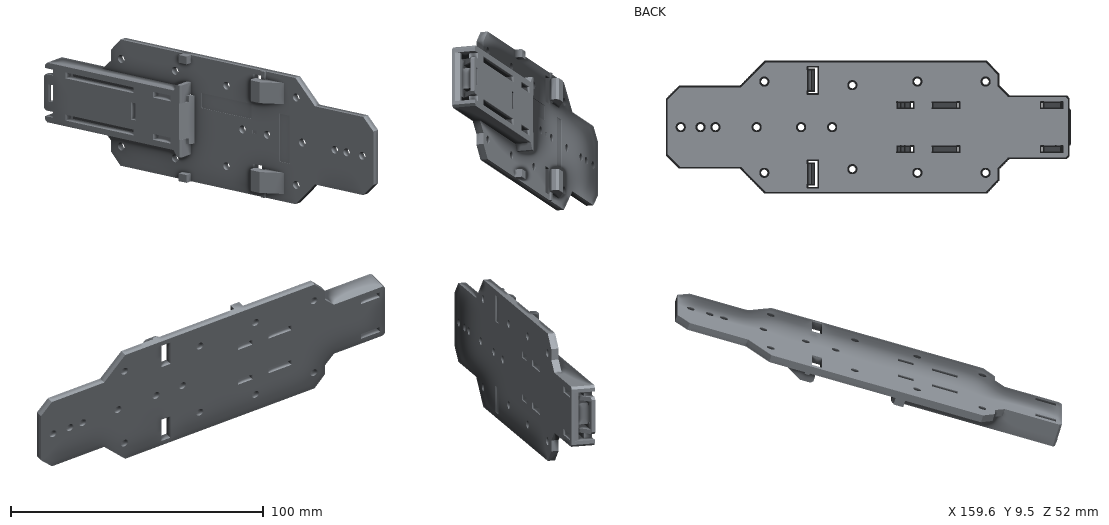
import cadquery as cq


length = 159.6
plate_thickness = 3.0
plate_half_width = 26.0
neck_half_width = 16.1
hole_diameter = 3.2

imprint_depth = 0.2
label_x_span = (73.8, 98.8)
label_z_span = (5.1, 11.3)
label_corner_radius = 0.6
pad_x_span = (112.7, 117.8)
pad_half_width = 9.9
mark_x_span = (99.3, 101.2)
mark_half_width = 0.72

channel_start = 0.6
channel_end = 68.5
channel_height = 6.5
channel_half_width = 12.3
cavity_half_width = 9.9
channel_corner = 1.0
end_bevel = 0.6
flare_half_width = 14.8
flare_start = 64.8
flare_crest = 66.5
tab_underside = 2.9
tab_spans = [(4.5, 10.7), (44.9, 54.5), (63.2, channel_end)]
tab_lead_in = 0.8
window_spans = [(3.0, 11.7), (43.9, 54.5), (62.0, channel_end)]
ramp_length = 1.0
ramp_depth = 1.9

hook_inner = 14.2
hook_outer = 22.8
hook_start = 101.2
hook_height = 4.8
hook_gap = 1.0
hook_root = 105.8
hook_crest_end = 106.5
hook_end = 115.0
hook_chamfer = 1.0
relief_start = 99.8
relief_end = 104.0
relief_margin = 1.04
rib_height = 0.72
block_start = 64.5
block_end = channel_end
block_width = 3.2
block_height = 2.9

slider_half_width = 7.5
slider_end = 67.5
slider_corner = 1.0
cover_thickness = 1.6
under_cover = channel_height - cover_thickness
skirt_thickness = 1.8
skirt_start = 1.0
skirt_ramp_end = 5.7
rib_half_width = 4.2
tool_slot_spans = [(2.4, 4.5), (43.5, 45.8)]
tool_slot_half_width = 3.5
nose_start = tab_spans[-1][0]
nose_tip = 70.7
nose_clearance = 0.8
nose_heel_height = 2.2
nose_heel_start = 65.5
nose_heel_length = 1.6

disc_x = 81.3
disc_z = -5.7
disc_diameter = 12.0
disc_thickness = 0.2


def box(x_span, height_span, z_span):
    """Box between two X values, two heights above the plate and two Z values."""
    (x0, x1), (h0, h1), (z0, z1) = x_span, height_span, z_span
    return cq.Workplane("XY").box(x1 - x0, h1 - h0, z1 - z0, centered=False).translate((x0, -h1, z0))


def front_prism(points, height_span):
    """Outline of (X, Z) points, extruded between two heights."""
    start, end = height_span
    return cq.Workplane("XZ", origin=(0, -start, 0)).polyline(points).close().extrude(end - start)


def side_prism(points, z_span):
    """Outline of (X, height) points, extruded between two Z values."""
    z0, z1 = z_span
    outline = [(x, -height) for x, height in points]
    return cq.Workplane("XY", origin=(0, 0, z0)).polyline(outline).close().extrude(z1 - z0)


def mirrored(shape):
    """The shape together with its mirror image across the plane Z = 0."""
    return shape.union(shape.mirror("XY"))


def both_sides(points):
    """Closed outline made from its +Z half and the mirror image of that half."""
    return points + [(x, -z) for x, z in reversed(points)]


def make_plate():
    upper_edge = [
        (channel_start, channel_half_width - channel_corner),
        (channel_start + channel_corner, channel_half_width),
        (24.3, channel_half_width),
        (28.4, 16.5),
        (28.4, 20.9),
        (33.2, plate_half_width),
        (120.7, plate_half_width),
        (130.5, neck_half_width),
        (154.5, neck_half_width),
        (length, 11.0),
    ]
    return front_prism(both_sides(upper_edge), (-plate_thickness, 0))


def make_holes():
    centre_row = [94.2, 106.5, 124.0, 140.3, 146.2, 154.0]
    outer_holes = [(33.5, 18.0), (60.5, 18.0), (86.2, 16.6), (121.0, 18.0)]
    points = [(x, 0) for x in centre_row]
    for x, z in outer_holes:
        points += [(x, z), (x, -z)]
    holes = cq.Workplane("XZ", origin=(0, plate_thickness, 0)).pushPoints(points)
    return holes.circle(hole_diameter / 2).extrude(plate_thickness)


def make_imprints():
    """Shallow rectangular marks in the plate's front face."""
    depth = (-imprint_depth, 0)
    label = box(label_x_span, depth, label_z_span).edges("|Y and <Z").fillet(label_corner_radius)
    pad = box(pad_x_span, depth, (-pad_half_width, pad_half_width))
    mark = box(mark_x_span, depth, (-mark_half_width, mark_half_width))
    return label.union(pad).union(mark)


def make_channel():
    """Two side walls with a flared end, and tabs that hold the slider down."""
    wall = front_prism(
        [
            (channel_start, cavity_half_width),
            (channel_start, channel_half_width - channel_corner),
            (channel_start + channel_corner, channel_half_width),
            (flare_start, channel_half_width),
            (flare_crest, flare_half_width),
            (channel_end, flare_half_width),
            (channel_end, cavity_half_width),
        ],
        (0, channel_height),
    )
    for start, end in tab_spans:
        wall = wall.union(
            box((start, end), (tab_underside, channel_height), (slider_half_width, cavity_half_width))
        )
    lead_in = side_prism(
        [
            (tab_spans[0][0] - tab_lead_in, tab_underside),
            (tab_spans[0][0], tab_underside),
            (tab_spans[0][0], channel_height),
        ],
        (slider_half_width, cavity_half_width),
    )
    wall = wall.union(lead_in)
    wall = wall.faces(">X").edges("<Y").chamfer(end_bevel)
    return mirrored(wall)


def make_channel_cuts():
    """Windows in the plate behind the tabs, and the ramp at the slider's entry."""
    cuts = side_prism(
        [
            (channel_start, 0),
            (channel_start + ramp_length, 0),
            (channel_start, -ramp_depth),
        ],
        (-cavity_half_width, cavity_half_width),
    )
    for span in window_spans:
        window = box(span, (-plate_thickness, 0), (slider_half_width, cavity_half_width))
        cuts = cuts.union(mirrored(window))
    return cuts


def make_hooks():
    hook = side_prism(
        [
            (hook_root, 0),
            (hook_root, hook_gap),
            (hook_start + hook_chamfer, hook_gap),
            (hook_start, hook_gap + hook_chamfer),
            (hook_start, hook_height - hook_chamfer),
            (hook_start + hook_chamfer, hook_height),
            (hook_crest_end, hook_height),
            (hook_end, 0),
        ],
        (hook_inner, hook_outer),
    )
    rib = box((relief_end, hook_root), (0, rib_height), (hook_outer, plate_half_width))
    return mirrored(hook.union(rib))


def make_hook_reliefs():
    z_span = (hook_inner - relief_margin, hook_outer + relief_margin)
    return mirrored(box((relief_start, relief_end), (-plate_thickness, 0), z_span))


def make_stop_blocks():
    z_span = (plate_half_width - block_width, plate_half_width)
    return mirrored(box((block_start, block_end), (0, block_height), z_span))


def make_disc():
    disc = cq.Workplane("XZ").center(disc_x, disc_z).circle(disc_diameter / 2)
    return disc.extrude(-disc_thickness)


def make_base(disc):
    base = make_plate().union(make_channel()).union(make_hooks()).union(make_stop_blocks())
    cutters = [make_holes(), make_imprints(), make_channel_cuts(), make_hook_reliefs(), disc]
    for cutter in cutters:
        base = base.cut(cutter)
    return base


def make_nose():
    """Sloped catch at the slider's end, with wings that reach behind the last tabs."""
    tip_slope = (nose_tip - slider_end) / (channel_height - nose_clearance)
    wing_end = nose_tip - tip_slope * (tab_underside - nose_clearance)
    underside = [
        (nose_tip, nose_clearance),
        (nose_heel_start + nose_heel_length, nose_clearance),
        (nose_heel_start, nose_heel_height),
    ]
    core = side_prism(
        underside + [(nose_heel_start, channel_height), (slider_end, channel_height)],
        (-slider_half_width, slider_half_width),
    )
    wings = side_prism(
        underside + [(nose_start, nose_heel_height), (nose_start, tab_underside), (wing_end, tab_underside)],
        (-cavity_half_width, cavity_half_width),
    )
    return core.union(wings)


def make_slider():
    cover = box((0, slider_end), (under_cover, channel_height), (-slider_half_width, slider_half_width))
    cover = cover.edges("|Y and <X").chamfer(slider_corner)
    skirt = side_prism(
        [
            (skirt_start, under_cover),
            (skirt_ramp_end, 0),
            (nose_heel_start, 0),
            (nose_heel_start, under_cover),
        ],
        (slider_half_width - skirt_thickness, slider_half_width),
    )
    rib_start = tool_slot_spans[0][1]
    rib = box((rib_start, nose_heel_start), (0, under_cover), (-rib_half_width, rib_half_width))
    wing_span = (window_spans[0][1], window_spans[1][0])
    wing = box(wing_span, (0, tab_underside), (slider_half_width, cavity_half_width))
    slider = cover.union(mirrored(skirt.union(wing))).union(rib).union(make_nose())
    for span in tool_slot_spans:
        z_span = (-tool_slot_half_width, tool_slot_half_width)
        slider = slider.cut(box(span, (0, channel_height), z_span))
    return slider


disc = make_disc()
base = make_base(disc)
slider = make_slider()

result = cq.Compound.makeCompound([base.val(), slider.val(), disc.val()])